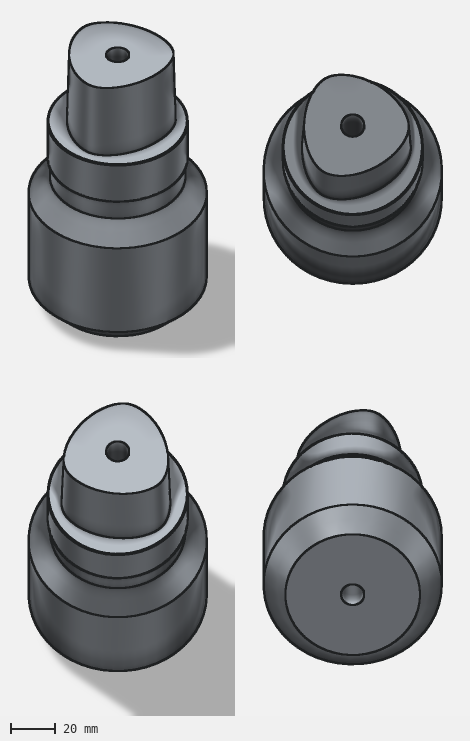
import cadquery as cq
import math

total_height = 138.0
shank_length = 38.1
flange_height = 21.7
neck_height = 10.1
shoulder_height = 9.5
base_chamfer_height = 10.4
flange_top = total_height - shank_length
flange_bottom = flange_top - flange_height
neck_bottom = flange_bottom - neck_height
body_top = neck_bottom - shoulder_height

body_radius = 40.0
neck_radius = body_radius - shoulder_height
base_radius = 30.2
flange_radius = 31.5
flange_chamfer = 0.4
bore_diameter = 10.4

shank_base_radius = 24.4
shank_taper = 1 / 20
shank_top_radius = shank_base_radius - shank_taper * shank_length / 2
lobe_offset = 1.7
outline_steps = 36


def lobed_point(mean_radius, angle):
    """Point of the three-lobed curve whose outward normal points along angle."""
    x = (mean_radius * math.cos(angle)
         - 2 * lobe_offset * math.cos(2 * angle)
         + lobe_offset * math.cos(4 * angle))
    y = (mean_radius * math.sin(angle)
         + 2 * lobe_offset * math.sin(2 * angle)
         + lobe_offset * math.sin(4 * angle))
    return x, y


def lobed_wire(mean_radius, height):
    """Closed three-lobed outline with one lobe toward -X."""
    angles = [2 * math.pi * step / outline_steps for step in range(outline_steps)]
    points = [cq.Vector(*lobed_point(mean_radius, angle), height) for angle in angles]
    return cq.Wire.assembleEdges([cq.Edge.makeSpline(points, periodic=True)])


def make_turned_body():
    """Chamfered body, conical shoulder and neck, revolved about Z."""
    profile = (
        cq.Workplane("XZ")
        .lineTo(base_radius, 0)
        .lineTo(body_radius, base_chamfer_height)
        .lineTo(body_radius, body_top)
        .lineTo(neck_radius, neck_bottom)
        .lineTo(neck_radius, flange_bottom)
        .lineTo(0, flange_bottom)
        .close()
    )
    return profile.revolve(360, (0, 0, 0), (0, 1, 0))


def make_flange():
    """Round flange with both rims lightly chamfered."""
    disc = cq.Workplane("XY", origin=(0, 0, flange_bottom)).circle(flange_radius)
    return disc.extrude(flange_height).faces("|Z").edges().chamfer(flange_chamfer)


def make_shank():
    """Three-lobed taper standing on the flange."""
    base = lobed_wire(shank_base_radius, flange_top)
    top = lobed_wire(shank_top_radius, total_height)
    return cq.Workplane(cq.Solid.makeLoft([base, top], True))


def make_bore():
    """Through bore on the axis."""
    return cq.Workplane("XY").circle(bore_diameter / 2).extrude(total_height)


result = make_turned_body().union(make_flange()).union(make_shank()).cut(make_bore())